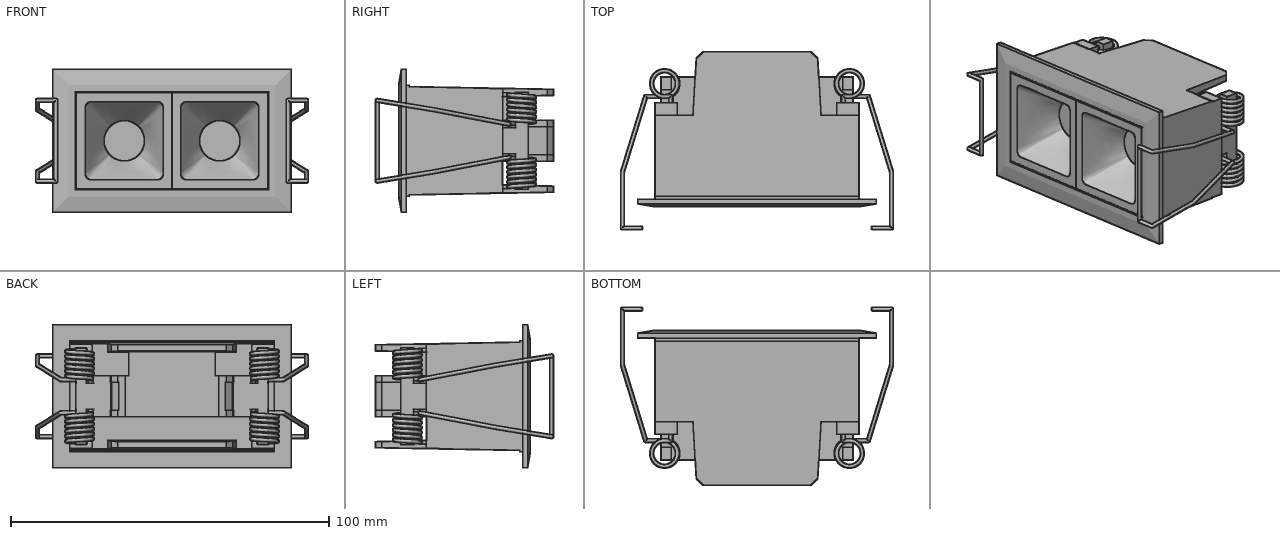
import cadquery as cq
import math


OVERALL_LENGTH = 85.7

FLANGE_LENGTH = 75.0
FLANGE_HEIGHT = 45.0
RIM_THICKNESS = 1.5
FLANGE_THICKNESS = 2.4
BEVEL_WIDTH = 5.0

HOUSING_HALF_LENGTH = 32.05
FRONT_HALF_HEIGHT = 17.05
BACK_HALF_HEIGHT = 16.2
LIP_HALF_HEIGHT = 17.5
LIP_DEPTH = 0.9
BLOCK_BACK = 26.3
LUG_BACK = 30.25
LUG_INNER_X = 25.0
LUG_HALF_HEIGHT = 16.4
HOUSING_BACK = 46.3

TAIL_FRONT_HALF_LENGTH = 20.1
TAIL_REAR_HALF_LENGTH = 19.1
TAIL_TIP_HALF_LENGTH = 17.0
TAIL_CHAMFER_DEPTH = 2.05
PLATE_ROOT_INNER_HALF_HEIGHT = 13.8
PLATE_TIP_INNER_HALF_HEIGHT = 14.2
MIDDLE_HALF_HEIGHT = 6.5
TONGUE_FACE_HALF_HEIGHT = 4.45
TONGUE_FACE_INSET = 0.2
TONGUE_INNER_X = 14.65

SHELF_BACK = 38.4
SHELF_HALF_LENGTH = 26.3
INNER_BOX_HALF_LENGTH = 13.5
POST_INNER_X = 26.9
POST_OUTER_X = 30.2
POST_FRONT = 34.3
POST_HALF_HEIGHT = 15.2
WEB_HALF_HEIGHT = 4.1

REFLECTOR_SPACING = 30.0
REFLECTOR_OPENING = 24.5
REFLECTOR_CORNER_RADIUS = 1.9
LENS_RADIUS = 6.3
LENS_CORNER_HALF_ANGLE = 2.0
REFLECTOR_DEPTH = 12.6
QUARTER_TURNS = (0, 90, 180, 270)
GROOVE_OUTER_LENGTH = 60.85
GROOVE_OUTER_HEIGHT = 30.85
GROOVE_WIDTH = 0.3
DIVIDING_GROOVE_WIDTH = 0.25
GROOVE_DEPTH = 0.85

WIRE_RADIUS = 0.6
COIL_X = -29.05
COIL_Y = 36.25
COIL_RADIUS = 4.0
COIL_TURNS = 6
COIL_PITCH = 1.5
COIL_START_Z = 5.2
COIL_CLEARANCE = 0.2
LEG_X = -27.2
ARM_ELBOW_X = -35.0
ARM_OUTER_X = -OVERALL_LENGTH / 2 + WIRE_RADIUS
ARM_BEND_Y = 8.6
ARM_BEND_Z = 9.8
BAIL_X = -36.5
BAIL_Y = -9.1
BAIL_Z = 12.7


def box(x_range, y_range, z_range):
    """Box between pairs of limits along X, Y and Z."""
    size = [high - low for low, high in (x_range, y_range, z_range)]
    return cq.Workplane("XY").box(*size, centered=False).translate((x_range[0], y_range[0], z_range[0]))


def with_mirror(shape, plane):
    """The shape together with its mirror image."""
    return shape.union(shape.mirror(plane))


def upright_plane(y):
    """Sketch plane facing -Y at the given depth, with X to the right and Z up."""
    return cq.Workplane("XZ", origin=(0, y, 0))


def flange():
    """Flat rim with its front edge bevelled on all four sides."""
    rim = upright_plane(0).rect(FLANGE_LENGTH, FLANGE_HEIGHT).extrude(RIM_THICKNESS)
    bevel = (
        upright_plane(-RIM_THICKNESS)
        .rect(FLANGE_LENGTH, FLANGE_HEIGHT)
        .workplane(offset=FLANGE_THICKNESS - RIM_THICKNESS)
        .rect(FLANGE_LENGTH - 2 * BEVEL_WIDTH, FLANGE_HEIGHT - 2 * BEVEL_WIDTH)
        .loft(ruled=True)
    )
    return rim.union(bevel)


def tail_outline():
    """Tapered outline of the rear plates and tongues, extruded over the whole housing height."""
    half_outline = [
        (0, 0),
        (TAIL_FRONT_HALF_LENGTH, 0),
        (TAIL_FRONT_HALF_LENGTH, BLOCK_BACK),
        (TAIL_REAR_HALF_LENGTH, HOUSING_BACK - TAIL_CHAMFER_DEPTH),
        (TAIL_TIP_HALF_LENGTH, HOUSING_BACK),
        (0, HOUSING_BACK),
    ]
    half = cq.Workplane("XY").polyline(half_outline).close().extrude(FRONT_HALF_HEIGHT, both=True)
    return with_mirror(half, "YZ")


def drafted_envelope():
    """Outer side profile of the housing: its top and bottom slope together toward the back."""
    profile = [
        (0, -FRONT_HALF_HEIGHT),
        (HOUSING_BACK, -BACK_HALF_HEIGHT),
        (HOUSING_BACK, BACK_HALF_HEIGHT),
        (0, FRONT_HALF_HEIGHT),
    ]
    return cq.Workplane("YZ").polyline(profile).close().extrude(HOUSING_HALF_LENGTH, both=True)


def plate_gap():
    """Space between the top and bottom rear plates."""
    profile = [
        (BLOCK_BACK, -PLATE_ROOT_INNER_HALF_HEIGHT),
        (HOUSING_BACK, -PLATE_TIP_INNER_HALF_HEIGHT),
        (HOUSING_BACK, PLATE_TIP_INNER_HALF_HEIGHT),
        (BLOCK_BACK, PLATE_ROOT_INNER_HALF_HEIGHT),
    ]
    return cq.Workplane("YZ").polyline(profile).close().extrude(HOUSING_HALF_LENGTH, both=True)


def block_with_lugs():
    """Drafted block whose ends run on into two slightly lower lugs."""
    block = box(
        (-HOUSING_HALF_LENGTH, HOUSING_HALF_LENGTH),
        (0, BLOCK_BACK),
        (-FRONT_HALF_HEIGHT, FRONT_HALF_HEIGHT),
    ).intersect(drafted_envelope())
    lug = box(
        (-HOUSING_HALF_LENGTH, -LUG_INNER_X),
        (BLOCK_BACK, LUG_BACK),
        (-LUG_HALF_HEIGHT, LUG_HALF_HEIGHT),
    )
    return block.union(with_mirror(lug, "YZ"))


def front_lip():
    """Low collar where the housing meets the flange."""
    return box(
        (-HOUSING_HALF_LENGTH, HOUSING_HALF_LENGTH),
        (0, LIP_DEPTH),
        (-LIP_HALF_HEIGHT, LIP_HALF_HEIGHT),
    )


def rear_plates():
    """Top and bottom plates running back to the rear of the housing."""
    return tail_outline().intersect(drafted_envelope()).cut(plate_gap())


def tongues():
    """Two short tongues at the ends of the tail, each with a shallow recess along its side."""
    depth = (BLOCK_BACK, HOUSING_BACK)
    strip = box(
        (-TAIL_FRONT_HALF_LENGTH, -TONGUE_INNER_X), depth, (-MIDDLE_HALF_HEIGHT, MIDDLE_HALF_HEIGHT)
    )
    face_band = box(
        (-TAIL_FRONT_HALF_LENGTH, 0), depth, (-TONGUE_FACE_HALF_HEIGHT, TONGUE_FACE_HALF_HEIGHT)
    )
    recess = face_band.cut(tail_outline().translate((TONGUE_FACE_INSET, 0, 0)))
    return with_mirror(strip.intersect(tail_outline()).cut(recess), "YZ")


def coil_seats():
    """Round clearances in the shelf, above and below its middle, for the coils."""
    seat = (
        cq.Workplane("XY", origin=(COIL_X, COIL_Y, WEB_HALF_HEIGHT))
        .circle(COIL_RADIUS + WIRE_RADIUS + COIL_CLEARANCE)
        .extrude(MIDDLE_HALF_HEIGHT - WEB_HALF_HEIGHT)
    )
    return with_mirror(with_mirror(seat, "XY"), "YZ")


def shelf():
    """Middle shelf behind the block, hollowed where the coils pass."""
    return box(
        (-SHELF_HALF_LENGTH, SHELF_HALF_LENGTH),
        (BLOCK_BACK, SHELF_BACK),
        (-MIDDLE_HALF_HEIGHT, MIDDLE_HALF_HEIGHT),
    ).cut(coil_seats())


def inner_box():
    """Box between the shelf and the top plate."""
    return box(
        (-INNER_BOX_HALF_LENGTH, INNER_BOX_HALF_LENGTH),
        (BLOCK_BACK, SHELF_BACK),
        (MIDDLE_HALF_HEIGHT, PLATE_TIP_INNER_HALF_HEIGHT),
    )


def spring_posts():
    """Upright posts inside the coils, each joined to the lug and the shelf by a web."""
    post = box(
        (-POST_OUTER_X, -POST_INNER_X), (POST_FRONT, SHELF_BACK), (-POST_HALF_HEIGHT, POST_HALF_HEIGHT)
    )
    web = box(
        (-POST_OUTER_X, -SHELF_HALF_LENGTH), (LUG_BACK, SHELF_BACK), (-WEB_HALF_HEIGHT, WEB_HALF_HEIGHT)
    )
    return with_mirror(post.union(web), "YZ")


def polar(radius, angle):
    """Point at a radius and an angle in degrees."""
    return (radius * math.cos(math.radians(angle)), radius * math.sin(math.radians(angle)))


def turned(point, angle):
    """The point turned about the origin by an angle in degrees."""
    u, v = point
    cos, sin = polar(1, angle)
    return (u * cos - v * sin, u * sin + v * cos)


def rounded_square(y):
    """Reflector opening: four straight sides, each followed by a corner arc."""
    half = REFLECTOR_OPENING / 2
    straight = half - REFLECTOR_CORNER_RADIUS
    corner_middle = straight + REFLECTOR_CORNER_RADIUS * math.sqrt(0.5)
    outline = upright_plane(y).moveTo(half, -straight)
    for angle in QUARTER_TURNS:
        outline = outline.lineTo(*turned((half, straight), angle))
        outline = outline.threePointArc(
            turned((corner_middle, corner_middle), angle), turned((straight, half), angle)
        )
    return outline.wire().val()


def lens_circle(y):
    """Circle in eight arcs: a long one for each reflector wall, a short one for each corner."""
    outline = upright_plane(y).moveTo(*polar(LENS_RADIUS, LENS_CORNER_HALF_ANGLE - 45))
    for angle in QUARTER_TURNS:
        corner = angle + 45
        outline = outline.threePointArc(
            polar(LENS_RADIUS, angle), polar(LENS_RADIUS, corner - LENS_CORNER_HALF_ANGLE)
        )
        outline = outline.threePointArc(
            polar(LENS_RADIUS, corner), polar(LENS_RADIUS, corner + LENS_CORNER_HALF_ANGLE)
        )
    return outline.wire().val()


def reflector_cavity():
    """Funnel of the reflector on the -X side, from the square opening back to the round lens."""
    front = -FLANGE_THICKNESS
    funnel = cq.Solid.makeLoft([rounded_square(front), lens_circle(front + REFLECTOR_DEPTH)], True)
    return cq.Workplane(funnel).translate((-REFLECTOR_SPACING / 2, 0, 0))


def reflector_grooves():
    """Rectangular groove around both reflectors and a narrow one between them."""
    front = upright_plane(GROOVE_DEPTH - FLANGE_THICKNESS)
    inner_length = GROOVE_OUTER_LENGTH - 2 * GROOVE_WIDTH
    inner_height = GROOVE_OUTER_HEIGHT - 2 * GROOVE_WIDTH
    ring = (
        front.rect(GROOVE_OUTER_LENGTH, GROOVE_OUTER_HEIGHT)
        .rect(inner_length, inner_height)
        .extrude(GROOVE_DEPTH)
    )
    return ring.union(front.rect(DIVIDING_GROOVE_WIDTH, inner_height).extrude(GROOVE_DEPTH))


def make_housing():
    """Flange, housing block and tail as one body, with the reflectors cut into its front."""
    housing = flange()
    for feature in (
        block_with_lugs(),
        front_lip(),
        rear_plates(),
        tongues(),
        shelf(),
        inner_box(),
        spring_posts(),
    ):
        housing = housing.union(feature)
    return housing.cut(with_mirror(reflector_cavity(), "YZ")).cut(reflector_grooves())


def wire_run(points):
    """Straight round wires through the points, with a ball at every bend."""
    run = None
    for start, end in zip(points, points[1:]):
        a = cq.Vector(*start)
        b = cq.Vector(*end)
        rod = cq.Workplane(cq.Solid.makeCylinder(WIRE_RADIUS, (b - a).Length, a, b - a))
        run = rod if run is None else run.union(rod)
    for corner in points[1:-1]:
        run = run.union(cq.Workplane("XY").sphere(WIRE_RADIUS).translate(corner))
    return run


def coil():
    """Upper coil, starting and ending on its -Y side and rising anticlockwise."""
    height = COIL_TURNS * COIL_PITCH
    helix = cq.Wire.makeHelix(COIL_PITCH, height, COIL_RADIUS)
    spring = cq.Workplane("XZ", origin=(COIL_RADIUS, 0, 0)).circle(WIRE_RADIUS).sweep(helix, isFrenet=True)
    return spring.rotate((0, 0, 0), (0, 0, 1), -90).translate((COIL_X, COIL_Y, COIL_START_Z))


def make_left_clip():
    """Double torsion spring on the -X side: two coils whose arms are joined by a front bail."""
    coil_front_y = COIL_Y - COIL_RADIUS
    coil_end_z = COIL_START_Z + COIL_TURNS * COIL_PITCH
    coil_start = (COIL_X, coil_front_y, COIL_START_Z)
    coil_end = (COIL_X, coil_front_y, coil_end_z)
    leg = wire_run([coil_end, (LEG_X, coil_front_y, coil_end_z), (LEG_X, LUG_BACK, coil_end_z)])
    arm = wire_run(
        [
            coil_start,
            (ARM_ELBOW_X, coil_front_y, COIL_START_Z),
            (ARM_OUTER_X, ARM_BEND_Y, ARM_BEND_Z),
            (ARM_OUTER_X, BAIL_Y, BAIL_Z),
            (BAIL_X, BAIL_Y, BAIL_Z),
            (BAIL_X, BAIL_Y, 0),
        ]
    )
    upper_half = coil().union(leg).union(arm)
    for end in (coil_start, coil_end):
        upper_half = upper_half.union(cq.Workplane("XY").sphere(WIRE_RADIUS).translate(end))
    return with_mirror(upper_half, "XY")


housing = make_housing()
left_clip = make_left_clip()
right_clip = left_clip.mirror("YZ")

result = cq.Compound.makeCompound(
    [housing.solids().val(), left_clip.solids().val(), right_clip.solids().val()]
)